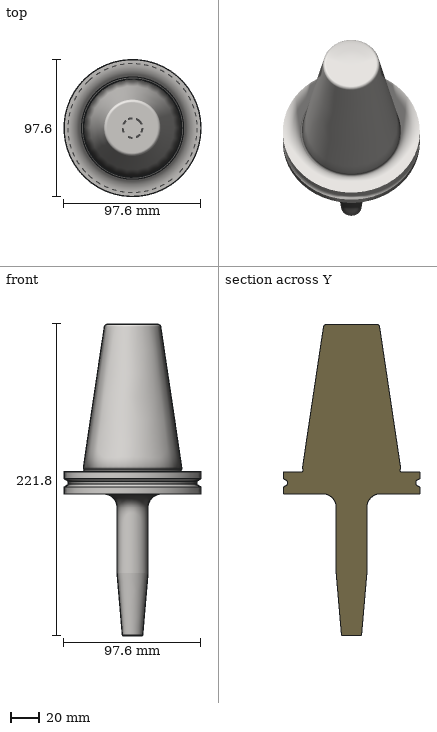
import cadquery as cq
import math

total_height = 221.8

taper_length = 101.8
taper_large_radius = 35.0
taper_small_radius = 20.2
top_round = 2.2
collar_height = 1.0
relief_radius = 34.5
relief_outer_radius = 36.4

flange_radius = 48.8
flange_top = 116.9
flange_thickness = 16.0
groove_center = 108.9
groove_mouth_width = 6.0
groove_floor_width = 2.7
groove_floor_radius = 46.0
groove_corner_fillet = 0.7

neck_radius = 11.0
neck_fillet_radius = 9.3
nose_length = 44.5
nose_tip_radius = 7.3
tip_chamfer = 0.7

taper_base = total_height - taper_length
flange_bottom = flange_top - flange_thickness
top_round_start = total_height - top_round
top_face_radius = taper_small_radius - top_round
top_mid_offset = top_round * math.sqrt(0.5)
fillet_end = flange_bottom - neck_fillet_radius
fillet_mid_offset = neck_fillet_radius * (1 - math.sqrt(0.5))
relief_top = taper_base - collar_height
relief_deepest = (relief_top + flange_top) / 2

profile = (
    cq.Workplane("XZ")
    .moveTo(0, 0)
    .lineTo(nose_tip_radius - tip_chamfer, 0)
    .lineTo(nose_tip_radius, tip_chamfer)
    .lineTo(neck_radius, nose_length)
    .lineTo(neck_radius, fillet_end)
    .threePointArc(
        (neck_radius + fillet_mid_offset, flange_bottom - fillet_mid_offset),
        (neck_radius + neck_fillet_radius, flange_bottom),
    )
    .lineTo(flange_radius, flange_bottom)
    .lineTo(flange_radius, groove_center - groove_mouth_width / 2)
    .lineTo(groove_floor_radius, groove_center - groove_floor_width / 2)
    .lineTo(groove_floor_radius, groove_center + groove_floor_width / 2)
    .lineTo(flange_radius, groove_center + groove_mouth_width / 2)
    .lineTo(flange_radius, flange_top)
    .lineTo(relief_outer_radius, flange_top)
    .threePointArc(
        (relief_radius, relief_deepest),
        (taper_large_radius, relief_top),
    )
    .lineTo(taper_large_radius, taper_base)
    .lineTo(taper_small_radius, top_round_start)
    .threePointArc(
        (top_face_radius + top_mid_offset, top_round_start + top_mid_offset),
        (top_face_radius, total_height),
    )
    .lineTo(0, total_height)
    .close()
)

body = profile.revolve(360, (0, 0, 0), (0, 1, 0))

edge_clearance = 0.2
box_radius = groove_floor_radius + edge_clearance
for side in (-1, 1):
    corner_z = groove_center + side * groove_floor_width / 2
    corner = cq.selectors.BoxSelector(
        (-box_radius, -box_radius, corner_z - edge_clearance),
        (box_radius, box_radius, corner_z + edge_clearance),
        boundingbox=True,
    )
    body = body.edges(corner).fillet(groove_corner_fillet)

result = body